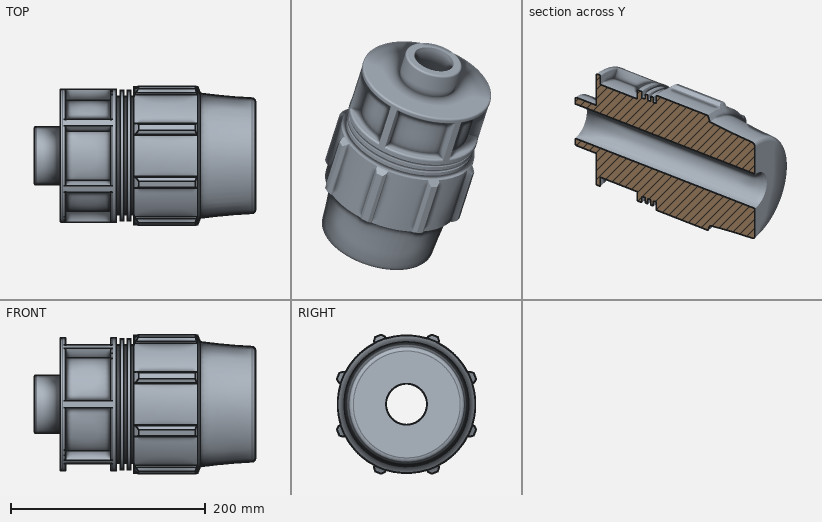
import cadquery as cq


length = 227.0
flange_start = 26.3
flange_thickness = 6.0
collar_start = 78.0
collar_end = 84.2
ridge_starts = (88.0, 95.0)
ridge_width = 3.9
nut_start = 102.2
nut_chamfer_start = 167.5
tail_start = 170.2

bore_radius = 41.8 / 2
spigot_radius = 59.7 / 2
flange_radius = 136.9 / 2
window_radius = 57.2
neck_radius = 121.7 / 2
ridge_radius = 134.2 / 2
nut_radius = 70.8
tail_start_radius = 64.0
tail_end_radius = 59.0
tail_sag = 0.7

spigot_fillet = 2.0
flange_fillet = 2.0
flange_back_fillet = 1.5
tail_fillet = 4.3

rib_count = 6
rib_width = 7.5

lug_count = 8
lug_width = 12.5
lug_top_width = 6.8
lug_shoulder_height = 72.6
lug_top_height = 76.0
lug_front_chamfer = 4.8
lug_back_chamfer = 2.5
lug_embed = 4.5


def disc(start, end, radius):
    """Solid cylinder along X between two stations."""
    return cq.Workplane("YZ").workplane(offset=start).circle(radius).extrude(end - start)


def make_body():
    """Stepped core with two rounded flanges and two thin ridges."""
    flange_end = flange_start + flange_thickness
    spigot = disc(0, (flange_start + flange_end) / 2, spigot_radius)
    spigot = spigot.faces("<X").edges().fillet(spigot_fillet)
    flange = disc(flange_start, flange_end, flange_radius)
    flange = flange.faces("<X").edges().fillet(flange_fillet)
    flange = flange.faces(">X").edges().fillet(flange_back_fillet)
    collar = disc(collar_start, collar_end, flange_radius)
    collar = collar.faces("<X").edges().fillet(flange_fillet)
    body = spigot.union(flange).union(collar)
    body = body.union(disc(flange_start, collar_end, window_radius))
    body = body.union(disc(collar_start, nut_start, neck_radius))
    for start in ridge_starts:
        body = body.union(disc(start, start + ridge_width, ridge_radius))
    return body


def make_ribs():
    """Radial ribs between the flanges, flush with the flange rims."""
    start = flange_start + flange_fillet
    end = collar_end
    bars = cq.Workplane("XY")
    for index in range(rib_count // 2):
        bar = cq.Workplane("XY").box(end - start, 2 * flange_radius, rib_width)
        bar = bar.translate(((start + end) / 2, 0, 0))
        bars = bars.union(bar.rotate((0, 0, 0), (1, 0, 0), index * 360 / rib_count))
    return bars.intersect(disc(start, end, flange_radius))


def make_nut():
    """Nut with a chamfered shoulder and a slightly hollow, tapering tail."""
    middle_x = (tail_start + length) / 2
    middle_radius = (tail_start_radius + tail_end_radius) / 2 - tail_sag
    profile = (
        cq.Workplane("XY")
        .moveTo(nut_start, 0)
        .lineTo(nut_start, nut_radius)
        .lineTo(nut_chamfer_start, nut_radius)
        .lineTo(tail_start, tail_start_radius)
        .threePointArc((middle_x, middle_radius), (length, tail_end_radius))
        .lineTo(length, 0)
        .close()
    )
    nut = profile.revolve(360, (0, 0, 0), (1, 0, 0))
    return nut.faces(">X").edges().fillet(tail_fillet)


def make_lug():
    """Grip lug with bevelled edges, standing up along +Z, rooted inside the nut."""
    root = nut_radius - lug_embed
    side = (
        cq.Workplane("XZ")
        .moveTo(nut_start, root)
        .lineTo(nut_start, nut_radius)
        .lineTo(nut_start + lug_front_chamfer, lug_top_height)
        .lineTo(nut_chamfer_start - lug_back_chamfer, lug_top_height)
        .lineTo(nut_chamfer_start, nut_radius)
        .lineTo(nut_chamfer_start, root)
        .close()
        .extrude(lug_width / 2, both=True)
    )
    section = (
        cq.Workplane("YZ")
        .workplane(offset=nut_start)
        .moveTo(-lug_width / 2, root)
        .lineTo(-lug_width / 2, lug_shoulder_height)
        .lineTo(-lug_top_width / 2, lug_top_height)
        .lineTo(lug_top_width / 2, lug_top_height)
        .lineTo(lug_width / 2, lug_shoulder_height)
        .lineTo(lug_width / 2, root)
        .close()
        .extrude(nut_chamfer_start - nut_start)
    )
    return side.intersect(section)


fitting = make_body().union(make_ribs()).union(make_nut())

lug = make_lug()
lug_pitch = 360 / lug_count
for index in range(lug_count):
    fitting = fitting.union(lug.rotate((0, 0, 0), (1, 0, 0), (index + 0.5) * lug_pitch))

result = fitting.cut(disc(0, length, bore_radius))